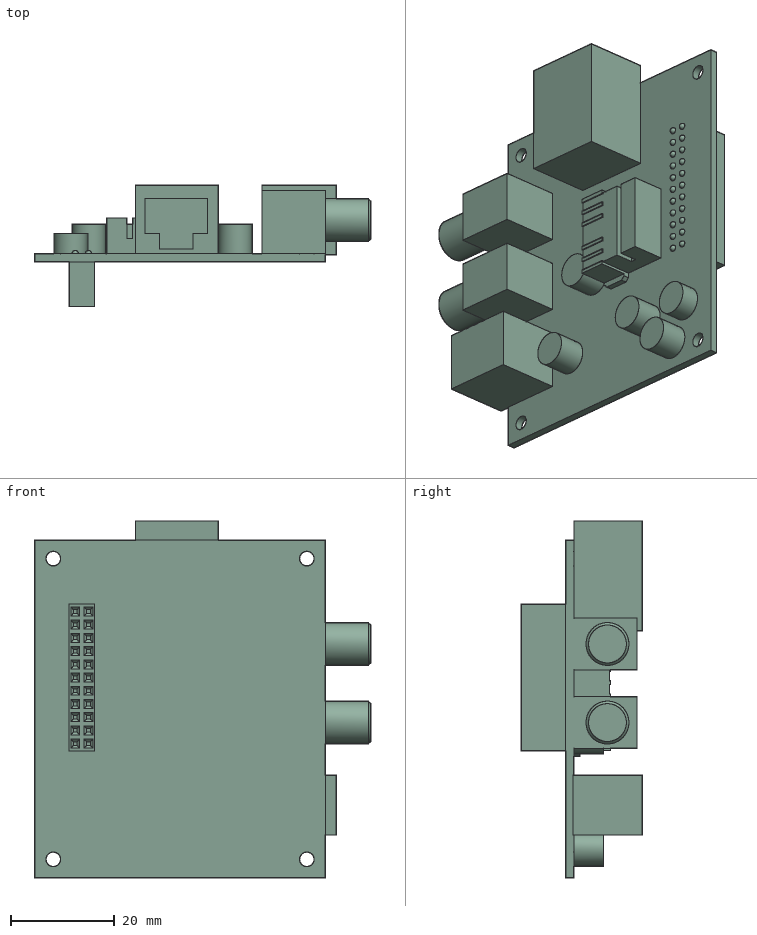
import cadquery as cq

BOARD_WIDTH = 56.1
BOARD_HEIGHT = 65.2
BOARD_THICKNESS = 1.6
MOUNT_HOLE_DIAMETER = 2.75
MOUNT_HOLE_INSET = 3.6

HEADER_WIDTH = 4.9
HEADER_HEIGHT = 28.3
HEADER_DEPTH = 8.6
HEADER_CENTER_X = 9.1
HEADER_CENTER_Z = 38.65
HEADER_COLUMNS = 2
HEADER_ROWS = 11
PIN_PITCH = 2.55
SOCKET_SIZE = 1.7
SOCKET_FLOOR_SIZE = 0.7
SOCKET_DEPTH = 0.5
SOLDER_DIAMETER = 1.25

COMPONENT_RISE = 13.2
NETWORK_LEFT = 19.4
NETWORK_WIDTH = 16.0
NETWORK_BOTTOM = 47.7
NETWORK_TOP = 68.9
PLUG_WIDTH = 12.05
PLUG_FLOOR = 3.85
PLUG_ROOF = 10.6
PLUG_DEPTH = 13.8
LATCH_WIDTH = 6.5
LATCH_FLOOR = 0.9
PLUG_CENTER_X = 27.3

SIDE_CONNECTOR_LEFT = 43.8
AUDIO_BLOCK_RISE = 12.2
AUDIO_BLOCK_HEIGHT = 10.0
AUDIO_CENTERS_Z = (30.0, 45.1)
BARREL_DIAMETER = 8.3
BARREL_LENGTH = 8.75
BARREL_AXIS_Y = 6.5
BARREL_CHAMFER = 0.5

POWER_RIGHT = 58.2
POWER_BOTTOM = 8.3
POWER_TOP = 19.85
POWER_SINK = 0.2

CAPACITOR_DIAMETER = 6.55
CAPACITOR_RISE = 5.7
SHORT_CAPACITOR_RISE = 3.9
LOWER_ROW_Z = 5.5
UPPER_ROW_Z = 12.6
CAPACITORS = (
    (6.95, UPPER_ROW_Z, SHORT_CAPACITOR_RISE),
    (17.3, UPPER_ROW_Z, CAPACITOR_RISE),
    (38.7, UPPER_ROW_Z, CAPACITOR_RISE),
    (10.5, LOWER_ROW_Z, CAPACITOR_RISE),
    (32.1, 27.2, CAPACITOR_RISE),
)

BLOCK_CENTER_Z = 32.6
SLOTTED_LEFT = 13.85
SLOTTED_LEG = 3.9
SLOT_WIDTH = 1.1
SLOTTED_HEIGHT = 14.95
SLOTTED_RISE = 6.9
SLOT_FLOOR = 2.95

FINNED_WIDTH = 5.5
FIN_THICKNESS = 0.75
FIN_RISE = 7.1
FIN_STEPS = (-3, -2, -1, 1, 2, 3)
FINNED_HEIGHT = 2 * FIN_STEPS[-1] * PIN_PITCH + FIN_THICKNESS
FOOT_HEIGHT = 18.3
FOOT_RISE = 1.2
FOOT_CHAMFER = 0.7


def block(x_min, x_max, y_min, y_max, z_min, z_max):
    """Box given by its limits along the three axes."""
    size = (x_max - x_min, y_max - y_min, z_max - z_min)
    return cq.Workplane("XY").box(*size, centered=False).translate((x_min, y_min, z_min))


def facing_plus_y(x, y, z):
    """Workplane at a point with its normal along +Y."""
    return cq.Workplane(cq.Plane(origin=(x, y, z), xDir=(1, 0, 0), normal=(0, 1, 0)))


def make_board():
    board = block(0, BOARD_WIDTH, -BOARD_THICKNESS, 0, 0, BOARD_HEIGHT)
    hole_spacing_x = BOARD_WIDTH - 2 * MOUNT_HOLE_INSET
    hole_spacing_z = BOARD_HEIGHT - 2 * MOUNT_HOLE_INSET
    holes = (
        facing_plus_y(BOARD_WIDTH / 2, -BOARD_THICKNESS, BOARD_HEIGHT / 2)
        .rarray(hole_spacing_x, hole_spacing_z, 2, 2)
        .circle(MOUNT_HOLE_DIAMETER / 2)
        .extrude(BOARD_THICKNESS)
    )
    return board.cut(holes)


def pin_positions():
    return [
        (
            HEADER_CENTER_X + (column - (HEADER_COLUMNS - 1) / 2) * PIN_PITCH,
            HEADER_CENTER_Z + (row - (HEADER_ROWS - 1) / 2) * PIN_PITCH,
        )
        for column in range(HEADER_COLUMNS)
        for row in range(HEADER_ROWS)
    ]


def make_header():
    header_face = -BOARD_THICKNESS - HEADER_DEPTH
    header = facing_plus_y(HEADER_CENTER_X, header_face, HEADER_CENTER_Z)
    header = header.rect(HEADER_WIDTH, HEADER_HEIGHT).extrude(HEADER_DEPTH)
    for x, z in pin_positions():
        funnel = (
            facing_plus_y(x, header_face, z)
            .rect(SOCKET_SIZE, SOCKET_SIZE)
            .workplane(offset=SOCKET_DEPTH)
            .rect(SOCKET_FLOOR_SIZE, SOCKET_FLOOR_SIZE)
            .loft()
        )
        header = header.cut(funnel)
    return header


def make_solder_domes():
    """Ball at each pin; the half inside the board merges with it."""
    points = [(x, 0, z) for x, z in pin_positions()]
    return cq.Workplane("XY").pushPoints(points).sphere(SOLDER_DIAMETER / 2)


def make_network_jack():
    jack = block(
        NETWORK_LEFT, NETWORK_LEFT + NETWORK_WIDTH, 0, COMPONENT_RISE, NETWORK_BOTTOM, NETWORK_TOP
    )
    opening_floor = NETWORK_TOP - PLUG_DEPTH
    for width, y_min in ((PLUG_WIDTH, PLUG_FLOOR), (LATCH_WIDTH, LATCH_FLOOR)):
        x_min = PLUG_CENTER_X - width / 2
        jack = jack.cut(block(x_min, x_min + width, y_min, PLUG_ROOF, opening_floor, NETWORK_TOP))
    return jack


def make_audio_jack(center_z):
    z_min = center_z - AUDIO_BLOCK_HEIGHT / 2
    body = block(
        SIDE_CONNECTOR_LEFT, BOARD_WIDTH, 0, AUDIO_BLOCK_RISE, z_min, z_min + AUDIO_BLOCK_HEIGHT
    )
    barrel = (
        cq.Workplane("YZ", origin=(BOARD_WIDTH, BARREL_AXIS_Y, center_z))
        .circle(BARREL_DIAMETER / 2)
        .extrude(BARREL_LENGTH)
        .faces(">X")
        .chamfer(BARREL_CHAMFER)
    )
    return body.union(barrel)


def make_power_connector():
    return block(
        SIDE_CONNECTOR_LEFT, POWER_RIGHT, -POWER_SINK, COMPONENT_RISE, POWER_BOTTOM, POWER_TOP
    )


def make_capacitor(x, z, rise):
    return facing_plus_y(x, 0, z).circle(CAPACITOR_DIAMETER / 2).extrude(rise)


def centered_block(x_min, x_max, rise, height, center_z=BLOCK_CENTER_Z):
    """Box on the component side, centered in height."""
    return block(x_min, x_max, 0, rise, center_z - height / 2, center_z + height / 2)


slotted_right = SLOTTED_LEFT + 2 * SLOTTED_LEG + SLOT_WIDTH
finned_right = slotted_right + FINNED_WIDTH


def make_slotted_block():
    """Block with a slot along Z between two legs."""
    body = centered_block(SLOTTED_LEFT, slotted_right, SLOTTED_RISE, SLOTTED_HEIGHT)
    slot_left = SLOTTED_LEFT + SLOTTED_LEG
    slot = centered_block(slot_left, slot_left + SLOT_WIDTH, SLOTTED_RISE, SLOTTED_HEIGHT)
    web = centered_block(slot_left, slot_left + SLOT_WIDTH, SLOT_FLOOR, SLOTTED_HEIGHT)
    return body.cut(slot).union(web)


def make_finned_block():
    """Block on a chamfered foot, with low fins across its outer face."""
    foot = centered_block(slotted_right, finned_right, FOOT_RISE, FOOT_HEIGHT)
    foot = foot.edges("|Y").chamfer(FOOT_CHAMFER)
    finned = foot.union(centered_block(slotted_right, finned_right, SLOTTED_RISE, FINNED_HEIGHT))
    for step in FIN_STEPS:
        fin_z = BLOCK_CENTER_Z + step * PIN_PITCH
        finned = finned.union(
            centered_block(slotted_right, finned_right, FIN_RISE, FIN_THICKNESS, fin_z)
        )
    return finned


result = make_board()
result = result.union(make_header())
result = result.union(make_solder_domes())
result = result.union(make_network_jack())
for audio_z in AUDIO_CENTERS_Z:
    result = result.union(make_audio_jack(audio_z))
result = result.union(make_power_connector())
for cap_x, cap_z, cap_rise in CAPACITORS:
    result = result.union(make_capacitor(cap_x, cap_z, cap_rise))
result = result.union(make_slotted_block())
result = result.union(make_finned_block())